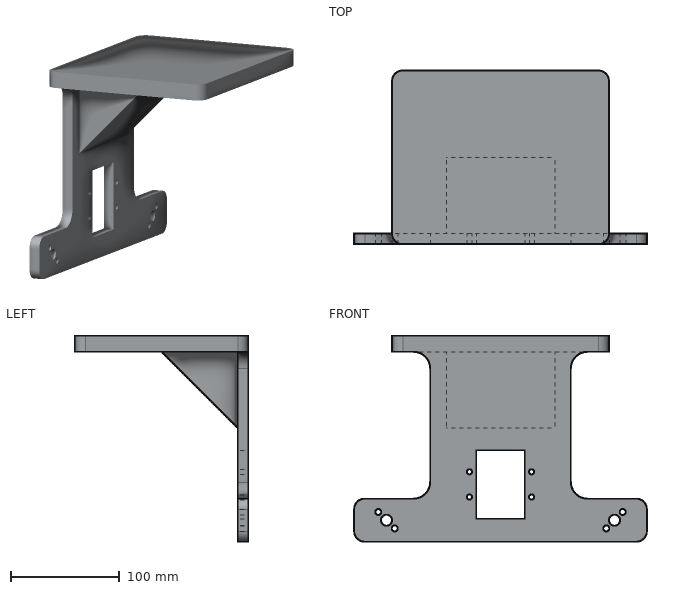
import cadquery as cq

foot_width = 270.0
depth = 160.0
height = 190.0

shelf_width = 200.0
shelf_thickness = 15.0
corner_radius = 10.0

plate_thickness = 10.0
stem_width = 130.0
foot_height = 40.0
inner_radius = 15.0

gusset_leg = 70.0
gusset_width = 100.0

window_width = 44.5
window_height = 63.0
window_center_z = 53.0
window_screw_diameter = 4.5
window_screw_spacing_x = 57.2
window_screw_spacing_z = 23.2

mount_diameter = 10.0
mount_inset = 30.0
mount_center_z = foot_height / 2
mount_screw_diameter = 5.5
mount_screw_offset = 7.5

shelf_underside = height - shelf_thickness


def block(width, length, tall, bottom_z):
    """Box centred on X with its front face at Y = 0."""
    return (
        cq.Workplane("XY", origin=(0, 0, bottom_z))
        .box(width, length, tall, centered=(True, False, False))
    )


def front_holes(points, diameter):
    """Cylinders along Y, through the upright plate, at (x, z) points."""
    return (
        cq.Workplane("XZ")
        .pushPoints(points)
        .circle(diameter / 2)
        .extrude(-plate_thickness)
    )


def corner_web(side, z, direction):
    """Concave fillet beside the stem; direction is +1 upward or -1 downward from z."""
    stem_x = side * stem_width / 2
    far_x = stem_x + side * inner_radius
    far_z = z + direction * inner_radius
    diagonal = inner_radius * (1 - 0.5 ** 0.5)
    return (
        cq.Workplane("XZ")
        .moveTo(stem_x, z)
        .lineTo(far_x, z)
        .threePointArc((stem_x + side * diagonal, z + direction * diagonal), (stem_x, far_z))
        .close()
        .extrude(-plate_thickness)
    )


shelf = block(shelf_width, depth, shelf_thickness, shelf_underside).edges("|Z").fillet(corner_radius)
foot = block(foot_width, plate_thickness, foot_height, 0).edges("|Y").fillet(corner_radius)
stem = block(stem_width, plate_thickness, shelf_underside, 0)
body = shelf.union(foot).union(stem)

for side in (-1, 1):
    body = body.union(corner_web(side, foot_height, 1))
    body = body.union(corner_web(side, shelf_underside, -1))

gusset = (
    cq.Workplane("YZ")
    .moveTo(plate_thickness, shelf_underside)
    .lineTo(plate_thickness + gusset_leg, shelf_underside)
    .lineTo(plate_thickness, shelf_underside - gusset_leg)
    .close()
    .extrude(gusset_width / 2, both=True)
)
body = body.union(gusset)

window = block(window_width, plate_thickness, window_height, window_center_z - window_height / 2)
window_screws = [
    (x_side * window_screw_spacing_x / 2, window_center_z + z_side * window_screw_spacing_z / 2)
    for x_side in (-1, 1)
    for z_side in (-1, 1)
]
body = body.cut(window).cut(front_holes(window_screws, window_screw_diameter))

for side in (-1, 1):
    mount_x = side * (foot_width / 2 - mount_inset)
    mount_screws = [
        (mount_x + side * end * mount_screw_offset, mount_center_z + end * mount_screw_offset)
        for end in (-1, 1)
    ]
    body = body.cut(front_holes([(mount_x, mount_center_z)], mount_diameter))
    body = body.cut(front_holes(mount_screws, mount_screw_diameter))

result = body